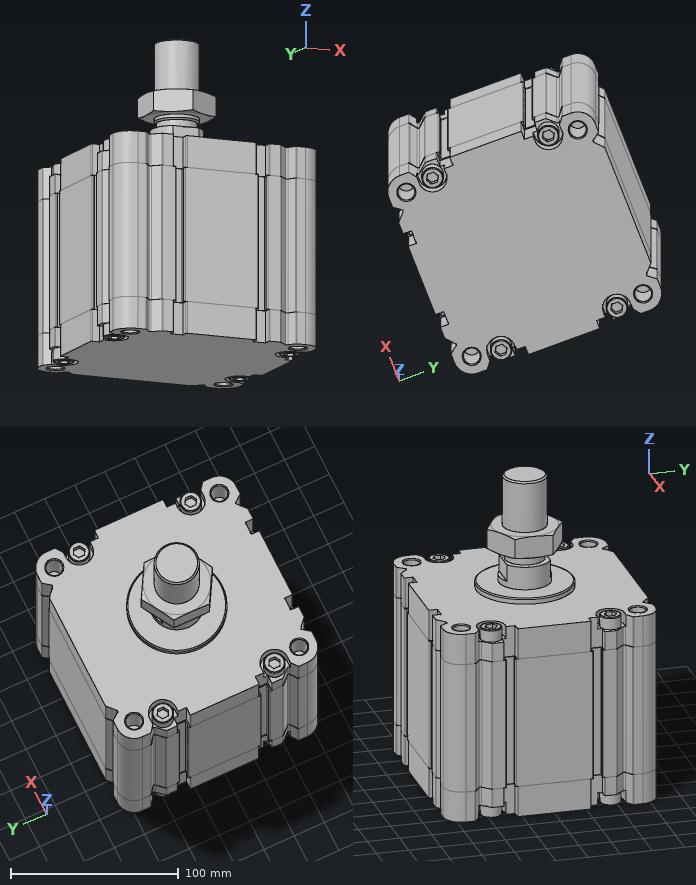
import cadquery as cq
import math


TOLERANCE = 0.02

SIDE = 132.0
HALF = SIDE / 2
CORNER_RADIUS = 11.2
CAP_HEIGHT = 19.5
HOUSING_HEIGHT = 121.0
TUBE_HEIGHT = HOUSING_HEIGHT - 2 * CAP_HEIGHT

V_APEX = 44.8
V_APEX_DEPTH = 5.6
CAP_V = {"inner": 38.6, "outer": 49.0, "tip_radius": 1.0}
TUBE_V = {"inner": 39.0, "outer": 48.6, "tip_radius": 1.2}

SLOT_OFFSET = 27.0
CAP_SLOT_WIDTH = 8.3
CAP_SLOT_DEPTH = 5.5
T_NECK_WIDTH = 5.5
T_LIP = 1.4
T_CAVITY_WIDTH = 6.5
T_DEPTH = 4.8
SLOTTED_FACES = (0, 90, -90)
MOUTH_ROUND = 0.5

HOLE_OFFSET = HALF - CORNER_RADIUS
HOLE_DIAMETER = 10.0
HOLE_MOUTH_DIAMETER = 11.4
HOLE_DEPTH = CAP_HEIGHT

SCREW_X = 57.5
SCREW_Y = 37.0
RECESS_DIAMETER = 17.2
RECESS_DEPTH = 7.7
HEAD_DIAMETER = 13.0
HEAD_CHAMFER = 0.5
SOCKET_FLATS = 6.5
SOCKET_DEPTH = 3.9

COLLAR_DIAMETER = 60.0
COLLAR_HEIGHT = 3.7
COLLAR_CHAMFER = 0.8
COLLAR_TOP = HOUSING_HEIGHT + COLLAR_HEIGHT

ROD_TOP = 193.0
ROD_DIAMETER = 32.0
ROD_SHOULDER = 139.2
ROD_FLATS = 27.0
FLATS_BOTTOM = 128.5
NECK_DIAMETER = 24.5
THREAD_DIAMETER = 27.0
THREAD_END_DIAMETER = 24.9
THREAD_CHAMFER = (THREAD_DIAMETER - THREAD_END_DIAMETER) / 2
THREAD_BOTTOM = 143.5

NUT_FLATS = 41.0
NUT_BOTTOM = 146.7
NUT_HEIGHT = 13.9
NUT_FACE_DIAMETER = 40.7
NUT_CHAMFER_ANGLE = 15


def corners_across(flats):
    """Width over the corners of a hexagon with the given width over its flats."""
    return flats / math.cos(math.radians(30))


def hexagon(flats, height):
    """Hexagonal prism on Z = 0 with two corners on the Y axis."""
    prism = cq.Workplane("XY").polygon(6, corners_across(flats)).extrude(height)
    return prism.rotate((0, 0, 0), (0, 0, 1), 30)


def v_groove(groove, side, height):
    """V groove cutter with a rounded tip on the -Y face, at the given side (+1 or -1) of its centre."""
    points = [
        (side * groove["inner"], -HALF),
        (side * V_APEX, -HALF + V_APEX_DEPTH),
        (side * groove["outer"], -HALF),
    ]
    cutter = cq.Workplane("XY").polyline(points).close().extrude(height)
    return cutter.edges("|Z and >Y").fillet(groove["tip_radius"])


def channel(offset, width, depth, height, start=0):
    """Rectangular channel cutter on the -Y face, from the start depth to the given depth."""
    middle = -HALF + (start + depth) / 2
    return cq.Workplane("XY").center(offset, middle).rect(width, depth - start).extrude(height)


def is_mouth_edge(edge):
    """True for an upright edge that lies in a side face, between the corner roundings."""
    place = edge.Center()
    along, out = sorted((abs(place.x), abs(place.y)))
    return out > HALF - TOLERANCE and along < HOLE_OFFSET - TOLERANCE


def profile_block(height, groove, slot_cutters):
    """Rounded block with V grooves on four faces and a pair of slots on three faces."""
    block = cq.Workplane("XY").rect(SIDE, SIDE).extrude(height).edges("|Z").fillet(CORNER_RADIUS)
    for turn in (0, 90, 180, -90):
        for side in (1, -1):
            cutters = [v_groove(groove, side, height)]
            if turn in SLOTTED_FACES:
                cutters += slot_cutters(side * SLOT_OFFSET, height)
            for cutter in cutters:
                block = block.cut(cutter.rotate((0, 0, 0), (0, 0, 1), turn))
    return block.edges("|Z").filter(is_mouth_edge).fillet(MOUTH_ROUND)


def cap_slot(offset, height):
    """Cutters of one plain slot."""
    return [channel(offset, CAP_SLOT_WIDTH, CAP_SLOT_DEPTH, height)]


def tube_slot(offset, height):
    """Cutters of one T slot: a narrow neck through the lips and a wider cavity behind them."""
    neck = channel(offset, T_NECK_WIDTH, T_DEPTH, height)
    cavity = channel(offset, T_CAVITY_WIDTH, T_DEPTH, height, start=T_LIP)
    return [neck, cavity]


def corner_hole():
    """Cutter for a blind hole with a chamfered mouth, entering downward from Z = 0."""
    hole_radius = HOLE_DIAMETER / 2
    mouth_radius = HOLE_MOUTH_DIAMETER / 2
    chamfer = mouth_radius - hole_radius
    points = [
        (0, 0), (mouth_radius, 0), (hole_radius, -chamfer), (hole_radius, -HOLE_DEPTH), (0, -HOLE_DEPTH),
    ]
    return cq.Workplane("XZ").polyline(points).close().revolve(360, (0, 0), (0, 1))


def screw_head():
    """Socket screw head standing on the recess floor, with its top at Z = 0."""
    head = cq.Workplane("XY").workplane(offset=-RECESS_DEPTH).circle(HEAD_DIAMETER / 2).extrude(RECESS_DEPTH)
    head = head.faces(">Z").chamfer(HEAD_CHAMFER)
    return head.cut(hexagon(SOCKET_FLATS, SOCKET_DEPTH).translate((0, 0, -SOCKET_DEPTH)))


def screw_recess(x_sign):
    """Recess cutter for a screw head: round inside, and open to the +X or -X side face."""
    round_end = cq.Workplane("XY").circle(RECESS_DIAMETER / 2).extrude(-RECESS_DEPTH)
    opening = cq.Workplane("XY").center(x_sign * RECESS_DIAMETER / 2, 0)
    opening = opening.rect(RECESS_DIAMETER, RECESS_DIAMETER).extrude(-RECESS_DEPTH)
    return round_end.union(opening)


def make_cap():
    """End cap with its outer face at Z = 0 and its body below, with corner holes and screws."""
    cap = profile_block(CAP_HEIGHT, CAP_V, cap_slot).translate((0, 0, -CAP_HEIGHT))
    for x_sign in (1, -1):
        for y_sign in (1, -1):
            screw_place = (x_sign * SCREW_X, y_sign * SCREW_Y, 0)
            hole_place = (x_sign * HOLE_OFFSET, y_sign * HOLE_OFFSET, 0)
            cap = cap.cut(corner_hole().translate(hole_place))
            cap = cap.cut(screw_recess(x_sign).translate(screw_place))
            cap = cap.union(screw_head().translate(screw_place))
    return cap


def make_housing():
    """Tube between two mirrored caps, with the rod guide collar on top."""
    cap = make_cap()
    top_cap = cap.translate((0, 0, HOUSING_HEIGHT))
    bottom_cap = cap.mirror("XY")
    tube = profile_block(TUBE_HEIGHT, TUBE_V, tube_slot).translate((0, 0, CAP_HEIGHT))
    collar = cq.Workplane("XY").workplane(offset=HOUSING_HEIGHT).circle(COLLAR_DIAMETER / 2)
    collar = collar.extrude(COLLAR_HEIGHT).faces(">Z").chamfer(COLLAR_CHAMFER)
    housing = tube.union(collar.union(top_cap), clean=False)
    return housing.union(bottom_cap, clean=False)


def make_rod():
    """Piston rod standing on the collar: round foot with two flats, neck and thread."""
    foot = cq.Workplane("XY").workplane(offset=COLLAR_TOP).circle(ROD_DIAMETER / 2)
    foot = foot.extrude(ROD_SHOULDER - COLLAR_TOP)
    flats_height = ROD_SHOULDER - FLATS_BOTTOM
    for side in (1, -1):
        beyond_flat = cq.Workplane("XY").rect(ROD_DIAMETER, ROD_DIAMETER).extrude(flats_height)
        flat_shift = side * (ROD_FLATS + ROD_DIAMETER) / 2
        foot = foot.cut(beyond_flat.translate((0, flat_shift, FLATS_BOTTOM)))
    neck = cq.Workplane("XY").workplane(offset=ROD_SHOULDER).circle(NECK_DIAMETER / 2)
    neck = neck.extrude(THREAD_BOTTOM - ROD_SHOULDER)
    thread = cq.Workplane("XY").workplane(offset=THREAD_BOTTOM).circle(THREAD_DIAMETER / 2)
    thread = thread.extrude(ROD_TOP - THREAD_BOTTOM).faces("<Z or >Z").chamfer(THREAD_CHAMFER)
    return foot.union(neck).union(thread)


def make_nut():
    """Hexagon nut with both faces chamfered by a cone, bored to the thread diameter."""
    face_radius = NUT_FACE_DIAMETER / 2
    corner_radius = corners_across(NUT_FLATS) / 2
    drop = (corner_radius - face_radius) * math.tan(math.radians(NUT_CHAMFER_ANGLE))
    points = [
        (0, 0), (face_radius, 0), (corner_radius, drop),
        (corner_radius, NUT_HEIGHT - drop), (face_radius, NUT_HEIGHT), (0, NUT_HEIGHT),
    ]
    coned = cq.Workplane("XZ").polyline(points).close().revolve(360, (0, 0), (0, 1))
    bore = cq.Workplane("XY").circle(THREAD_DIAMETER / 2).extrude(NUT_HEIGHT)
    nut = hexagon(NUT_FLATS, NUT_HEIGHT).intersect(coned).cut(bore)
    return nut.translate((0, 0, NUT_BOTTOM))


housing = make_housing()
rod = make_rod()
nut = make_nut()

result = cq.Compound.makeCompound([housing.val(), rod.val(), nut.val()])